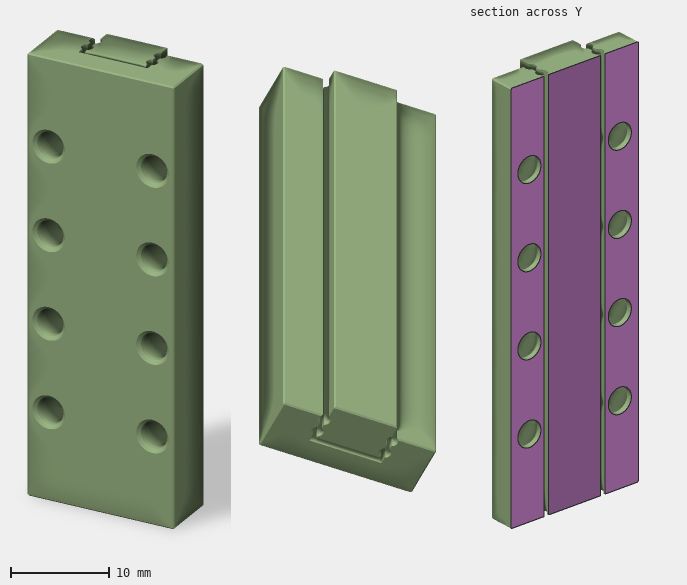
import cadquery as cq

length = 50.0
total_height = 8.0
edge_chamfer = 0.15

housing_width = 17.0
housing_height = 6.45
running_gap = 0.5
slot_floor = 2.7

rail_width = 7.0
rail_bottom = slot_floor + running_gap
slot_width = rail_width + 2 * running_gap

track_radius = 0.65
track_offset = (rail_width + running_gap) / 2
lower_track = 4.15
track_pitch = 1.75
track_points = [
    (side * track_offset, lower_track + row * track_pitch)
    for side in (-1, 1)
    for row in (0, 1)
]

hole_diameter = 3.0
hole_mouth_diameter = 3.75
countersink_depth = (hole_mouth_diameter - hole_diameter) / 2
hole_depth = 4.0
hole_column_offset = 6.0
hole_pitch = 10.0
hole_rows = 4
first_hole = (length - (hole_rows - 1) * hole_pitch) / 2


def block(width, bottom, top):
    """Full-length block centred on X = 0, between two Y levels."""
    blank = cq.Workplane("XY").box(width, top - bottom, length, centered=(True, False, False))
    return blank.translate((0, bottom, 0))


def ball_tracks():
    """Four round bars that run the full length along Z."""
    return cq.Workplane("XY").pushPoints(track_points).circle(track_radius).extrude(length)


def mounting_hole():
    """Tool for a blind hole along +Y with a 45 degree countersink, mouth at the origin."""
    mouth_radius = hole_mouth_diameter / 2
    radius = hole_diameter / 2
    return (
        cq.Workplane("XY")
        .polyline(
            [
                (0, 0),
                (mouth_radius, 0),
                (radius, countersink_depth),
                (radius, hole_depth),
                (0, hole_depth),
            ]
        )
        .close()
        .revolve(360, (0, 0), (0, 1))
    )


def make_housing():
    body = block(housing_width, 0, housing_height).edges().chamfer(edge_chamfer)
    body = body.cut(block(slot_width, slot_floor, total_height)).cut(ball_tracks())
    for side in (-1, 1):
        for row in range(hole_rows):
            height = first_hole + row * hole_pitch
            body = body.cut(mounting_hole().translate((side * hole_column_offset, 0, height)))
    return body


def make_rail():
    body = block(rail_width, rail_bottom, total_height)
    body = body.faces(">Y").edges().chamfer(edge_chamfer)
    body = body.faces("<Y").edges("|X").chamfer(edge_chamfer)
    return body.cut(ball_tracks())


housing = make_housing()
rail = make_rail()

result = cq.Compound.makeCompound([housing.val(), rail.val()])